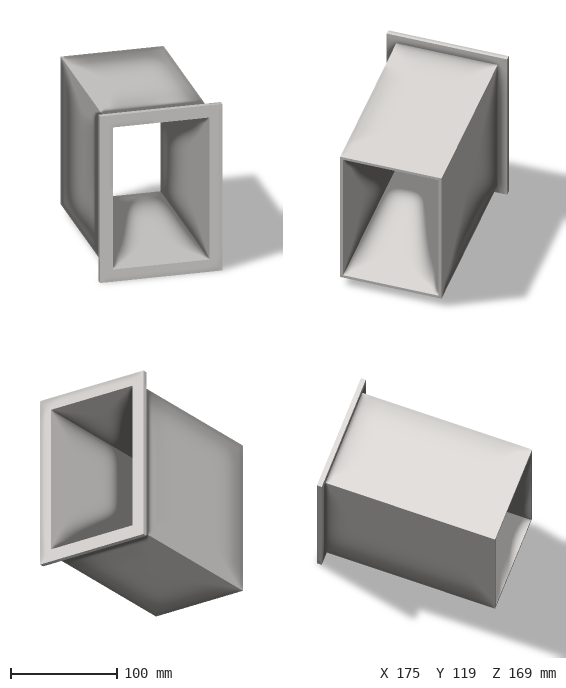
import cadquery as cq

total_length = 175.0
flange_width = 119.0
flange_height = 169.0

flange_thickness = 4.9
flange_overhang = 9.5
wall = 3.0

duct_width = flange_width - 2 * flange_overhang
duct_height = flange_height - 2 * flange_overhang
opening_width = duct_width - 2 * wall
opening_height = duct_height - 2 * wall


def block_along_x(start, length, width, height):
    """Rectangular block centred on the X axis, running from start in +X."""
    return cq.Workplane("YZ", origin=(start, 0, 0)).rect(width, height).extrude(length)


duct = block_along_x(0, total_length, duct_width, duct_height)
flange = block_along_x(total_length - flange_thickness, flange_thickness, flange_width, flange_height)

opening = block_along_x(0, total_length, opening_width, opening_height)

result = duct.union(flange).cut(opening)